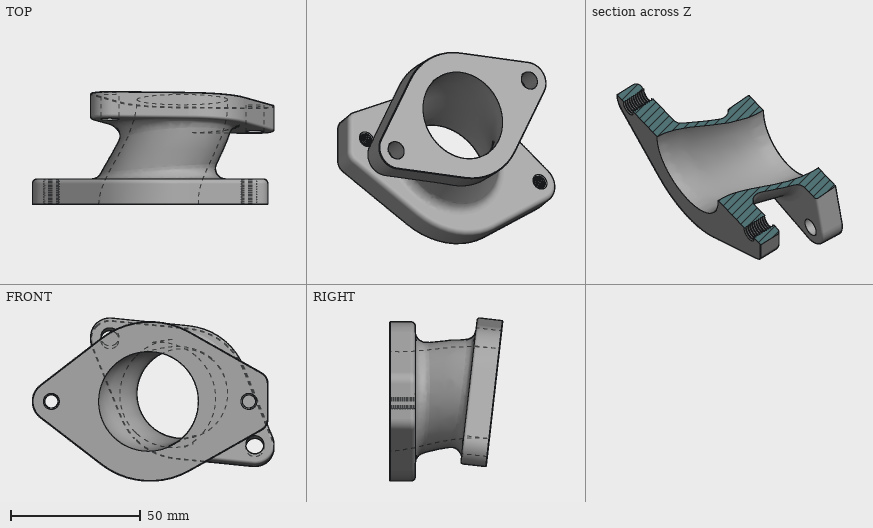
import cadquery as cq
import math

FRONT_THICKNESS = 10.0
FRONT_DISC_RADIUS = 30.9
FRONT_BOLT_REACH = 38.15
FRONT_LOBE_RADIUS = 7.95
FRONT_HALF_LENGTH = 45.5
FRONT_LOBE_X = FRONT_HALF_LENGTH - FRONT_LOBE_RADIUS
FRONT_END_TAPER = 29.5
FRONT_CORNER_RADIUS = 4.9
FRONT_EDGE_ROUND = 2.0

REAR_THICKNESS = 10.0
REAR_DISC_RADIUS = 25.5
REAR_BOLT_REACH = 35.0
REAR_LOBE_RADIUS = 7.5
REAR_BOLT_ANGLE = 36.8
REAR_LEAN = 6.5
REAR_CENTRE = (12.4, 40.6, 3.0)
REAR_EDGE_ROUND = 1.0
REAR_HOLE_DIAMETER = 7.0

EDGE_BREAK = 0.3

BORE_START = (-0.7, 0.0, 0.0)
BORE_START_DIAMETER = 38.5
BORE_END_DIAMETER = 35.0
PIPE_START_DIAMETER = 44.5
PIPE_END_DIAMETER = 40.4
PIPE_END_PULL = 1.3
PIPE_SECTIONS = 7
PIPE_FILLET = 3.9

BLANK_RADIUS = 56.1
FLARE_TRIM_HEIGHT = 2.8
TRIM_MARGIN = 0.9

TOLERANCE = 0.01

THREAD_MINOR_DIAMETER = 5.05
THREAD_MAJOR_DIAMETER = 6.2
THREAD_PITCH = 1.0

lean = math.radians(REAR_LEAN)
front_plane = cq.Plane(origin=(0, 0, 0), xDir=(1, 0, 0), normal=(0, -1, 0))
rear_plane = cq.Plane(origin=REAR_CENTRE, xDir=(1, 0, 0), normal=(0, -math.cos(lean), math.sin(lean)))
rear_bolt_plane = rear_plane.rotated((0, 0, -REAR_BOLT_ANGLE))


def polar(radius, degrees, centre_x=0.0):
    angle = math.radians(degrees)
    return (centre_x + radius * math.cos(angle), radius * math.sin(angle))


def tangent_angle(disc_radius, lobe_radius, reach):
    """Direction from the lobe axis to the points where the tangent line touches both circles."""
    return math.degrees(math.acos((disc_radius - lobe_radius) / reach))


def front_outline(plane):
    """Disc with a round lobe at -X and a tapered, square-cut end at +X."""
    left = 180 - tangent_angle(FRONT_DISC_RADIUS, FRONT_LOBE_RADIUS, FRONT_LOBE_X)
    right = 90 - FRONT_END_TAPER
    taper = math.radians(FRONT_END_TAPER)
    corner_z = (FRONT_DISC_RADIUS - FRONT_HALF_LENGTH * math.sin(taper)) / math.cos(taper)
    return (
        cq.Workplane(plane)
        .moveTo(FRONT_HALF_LENGTH, corner_z)
        .lineTo(*polar(FRONT_DISC_RADIUS, right))
        .threePointArc(polar(FRONT_DISC_RADIUS, 90), polar(FRONT_DISC_RADIUS, left))
        .lineTo(*polar(FRONT_LOBE_RADIUS, left, -FRONT_LOBE_X))
        .threePointArc((-FRONT_HALF_LENGTH, 0), polar(FRONT_LOBE_RADIUS, -left, -FRONT_LOBE_X))
        .lineTo(*polar(FRONT_DISC_RADIUS, -left))
        .threePointArc(polar(FRONT_DISC_RADIUS, -90), polar(FRONT_DISC_RADIUS, -right))
        .lineTo(FRONT_HALF_LENGTH, -corner_z)
        .close()
    )


def rear_outline(plane):
    """Disc with a round lobe at each end of the local X axis."""
    touch = tangent_angle(REAR_DISC_RADIUS, REAR_LOBE_RADIUS, REAR_BOLT_REACH)
    tip = REAR_BOLT_REACH + REAR_LOBE_RADIUS
    return (
        cq.Workplane(plane)
        .moveTo(*polar(REAR_LOBE_RADIUS, touch, REAR_BOLT_REACH))
        .lineTo(*polar(REAR_DISC_RADIUS, touch))
        .threePointArc((0, REAR_DISC_RADIUS), polar(REAR_DISC_RADIUS, 180 - touch))
        .lineTo(*polar(REAR_LOBE_RADIUS, 180 - touch, -REAR_BOLT_REACH))
        .threePointArc((-tip, 0), polar(REAR_LOBE_RADIUS, 180 + touch, -REAR_BOLT_REACH))
        .lineTo(*polar(REAR_DISC_RADIUS, 180 + touch))
        .threePointArc((0, -REAR_DISC_RADIUS), polar(REAR_DISC_RADIUS, -touch))
        .lineTo(*polar(REAR_LOBE_RADIUS, -touch, REAR_BOLT_REACH))
        .threePointArc((tip, 0), polar(REAR_LOBE_RADIUS, touch, REAR_BOLT_REACH))
        .close()
    )


def pipe_plane(t):
    """Plane across the pipe at t = 0 (front face) to 1 (rear face), square to both flanges at the ends."""
    ease = 3 * t**2 - 2 * t**3
    centre = [a + (b - a) * ease for a, b in zip(BORE_START, REAR_CENTRE)]
    run = REAR_CENTRE[1] - BORE_START[1]
    end_bend = PIPE_END_PULL * run * (t**3 - t**2)
    centre[1] += run * (t - 2 * t**2 + t**3) + end_bend
    centre[2] -= end_bend * math.tan(lean)
    tilt = lean * t
    return cq.Plane(origin=tuple(centre), xDir=(1, 0, 0), normal=(0, -math.cos(tilt), math.sin(tilt)))


def pipe(start_diameter, end_diameter):
    """Solid round bar along the pipe path, tapering evenly between the two diameters."""
    wires = []
    for i in range(PIPE_SECTIONS):
        t = i / (PIPE_SECTIONS - 1)
        diameter = start_diameter + (end_diameter - start_diameter) * t
        wires.append(cq.Workplane(pipe_plane(t)).circle(diameter / 2).wires().val())
    return cq.Workplane(obj=cq.Solid.makeLoft(wires))


def thread_cutter():
    """Hole with stacked V-grooves, running along +Y from the local origin."""
    minor = THREAD_MINOR_DIAMETER / 2
    major = THREAD_MAJOR_DIAMETER / 2
    turns = round(FRONT_THICKNESS / THREAD_PITCH)
    pitch = FRONT_THICKNESS / turns
    points = [(0, 0), (major, 0)]
    for i in range(turns):
        points.append((minor, (i + 0.5) * pitch))
        points.append((major, (i + 1) * pitch))
    points.append((0, FRONT_THICKNESS))
    return cq.Workplane("XY").polyline(points).close().revolve(360, (0, 0), (0, 1))


def closed_curves(work):
    """Closed free-form edges, which are the roots where the pipe meets the flanges."""
    return [e for e in work.edges("%BSPLINE").vals() if e.IsClosed()]


def flat_rim(work, plane, height):
    """Straight and circular edges lying at the given height above the plane."""
    edges = work.edges("%LINE or %CIRCLE").vals()
    return [e for e in edges if abs(plane.toLocalCoords(e.Center()).z - height) < TOLERANCE]


front_flange = front_outline(front_plane).extrude(-FRONT_THICKNESS)
front_flange = front_flange.edges("|Y and >X").fillet(FRONT_CORNER_RADIUS)
front_flange = front_flange.faces(">Y").edges().fillet(FRONT_EDGE_ROUND)
front_flange = front_flange.faces("<Y").edges().chamfer(EDGE_BREAK)

rear_blank = cq.Workplane(rear_plane).circle(BLANK_RADIUS).extrude(REAR_THICKNESS)
body = pipe(PIPE_START_DIAMETER, PIPE_END_DIAMETER).cut(rear_blank).union(front_flange).union(rear_blank)
body = body.newObject(closed_curves(body)).fillet(PIPE_FILLET)

trim_height = REAR_THICKNESS + FLARE_TRIM_HEIGHT
surround = cq.Workplane(rear_plane).circle(BLANK_RADIUS + TRIM_MARGIN).extrude(trim_height)
surround = surround.cut(rear_outline(rear_bolt_plane).extrude(trim_height))
body = body.cut(surround)

body = body.newObject(flat_rim(body, rear_plane, REAR_THICKNESS)).fillet(REAR_EDGE_ROUND)
body = body.newObject(flat_rim(body, rear_plane, 0)).chamfer(EDGE_BREAK)

body = body.cut(pipe(BORE_START_DIAMETER, BORE_END_DIAMETER))

rear_holes = (
    cq.Workplane(rear_bolt_plane)
    .pushPoints([(-REAR_BOLT_REACH, 0), (REAR_BOLT_REACH, 0)])
    .circle(REAR_HOLE_DIAMETER / 2)
    .extrude(REAR_THICKNESS)
)
body = body.cut(rear_holes)
for side in (-1, 1):
    body = body.cut(thread_cutter().translate((side * FRONT_BOLT_REACH, 0, 0)))

result = body